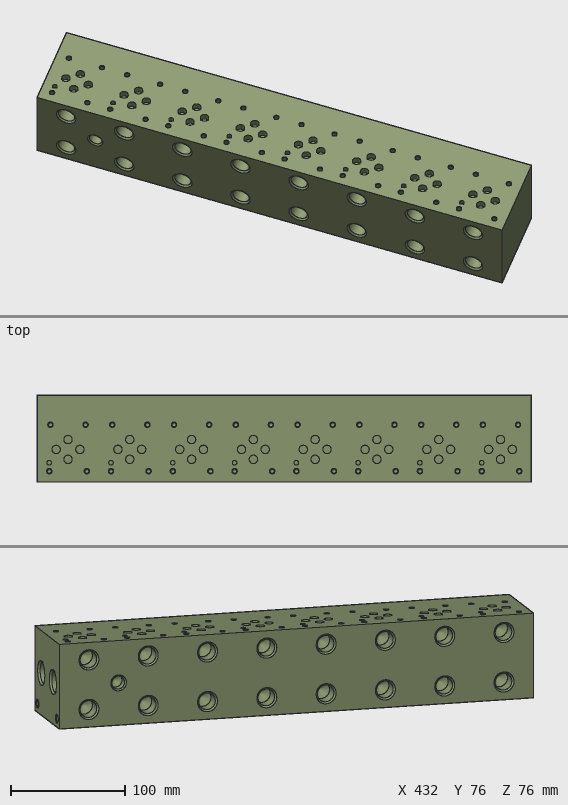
import cadquery as cq
import math

LENGTH = 432.0
SIDE = 76.0
MIDDLE = SIDE / 2

STATION_COUNT = 8
STATION_PITCH = 54.0
FIRST_STATION_X = (LENGTH - (STATION_COUNT - 1) * STATION_PITCH) / 2

WORK_PORT_HEIGHTS = (16.0, 60.5)
WORK_PORT_BORE = 15.0
WORK_PORT_MOUTH = 18.0
WORK_PORT_DEPTH = 15.0

GAUGE_X = FIRST_STATION_X + STATION_PITCH / 2
GAUGE_BORE = 11.5
GAUGE_MOUTH = 14.2
GAUGE_DEPTH = 9.5

END_PORT_OFFSET = 18.0
END_PORT_BORE = 18.5
END_PORT_MOUTH = 22.0
END_PORT_DEPTH = 17.3

MOUNT_EDGE_DISTANCE = 7.8
MOUNT_BORE = 6.5
MOUNT_MOUTH = 7.8
MOUNT_DEPTH = 13.0

SCREW_BACK_Y = 50.0
SCREW_ROW_DISTANCE = 40.5
SCREW_FRONT_Y = SCREW_BACK_Y - SCREW_ROW_DISTANCE
SCREW_BACK_SPACING = 30.5
SCREW_FRONT_SPACING = 33.0
SCREW_POINTS = (
    (-SCREW_BACK_SPACING / 2, SCREW_BACK_Y),
    (SCREW_BACK_SPACING / 2, SCREW_BACK_Y),
    (-SCREW_FRONT_SPACING / 2, SCREW_FRONT_Y),
    (SCREW_FRONT_SPACING / 2, SCREW_FRONT_Y),
)
SCREW_BORE = 3.65
SCREW_MOUTH = 4.7
SCREW_DEPTH = 11.0

VALVE_PORT_CENTER_Y = 28.5
VALVE_PORT_REACH_X = 10.5
VALVE_PORT_REACH_Y = 8.5
VALVE_PORT_POINTS = (
    (-VALVE_PORT_REACH_X, VALVE_PORT_CENTER_Y),
    (VALVE_PORT_REACH_X, VALVE_PORT_CENTER_Y),
    (0, VALVE_PORT_CENTER_Y - VALVE_PORT_REACH_Y),
    (0, VALVE_PORT_CENTER_Y + VALVE_PORT_REACH_Y),
)
VALVE_PORT_BORE = 7.5
VALVE_PORT_DEPTH = 6.5

PIN_BEHIND_SCREW = 7.5
PIN_POINT = (-SCREW_FRONT_SPACING / 2, SCREW_FRONT_Y + PIN_BEHIND_SCREW)
PIN_BORE = 4.0
PIN_DEPTH = 4.5

DRILL_HALF_ANGLE = 59.0
COUNTERSINK_HALF_ANGLE = 45.0

INTO_Y = cq.Vector(0, 1, 0)
INTO_X = cq.Vector(1, 0, 0)
DOWN = cq.Vector(0, 0, -1)


def cone_height(base_radius, half_angle):
    """Axial length of a cone of the given base radius and half angle."""
    return base_radius / math.tan(math.radians(half_angle))


def flat_hole(mouth_center, direction, bore, depth):
    """Plain flat-bottomed bore."""
    return [cq.Solid.makeCylinder(bore / 2, depth, cq.Vector(*mouth_center), direction)]


def drilled_hole(mouth_center, direction, bore, depth, mouth):
    """Bore with a countersunk mouth and a conical drill point."""
    center = cq.Vector(*mouth_center)
    sink_depth = cone_height((mouth - bore) / 2, COUNTERSINK_HALF_ANGLE)
    countersink = cq.Solid.makeCone(mouth / 2, bore / 2, sink_depth, center, direction)
    tip_height = cone_height(bore / 2, DRILL_HALF_ANGLE)
    tip = cq.Solid.makeCone(bore / 2, 0, tip_height, center + direction * depth, direction)
    return flat_hole(mouth_center, direction, bore, depth) + [countersink, tip]


def end_face_holes():
    """Supply and tank ports, and the two mounting threads below them."""
    cutters = []
    for side in (-1, 1):
        port = (0, MIDDLE + side * END_PORT_OFFSET, MIDDLE)
        cutters += drilled_hole(port, INTO_X, END_PORT_BORE, END_PORT_DEPTH, END_PORT_MOUTH)
        mount = (0, MIDDLE + side * (MIDDLE - MOUNT_EDGE_DISTANCE), MOUNT_EDGE_DISTANCE)
        cutters += drilled_hole(mount, INTO_X, MOUNT_BORE, MOUNT_DEPTH, MOUNT_MOUTH)
    return cutters


def gauge_port():
    """Single gauge port at mid height."""
    return drilled_hole((GAUGE_X, 0, MIDDLE), INTO_Y, GAUGE_BORE, GAUGE_DEPTH, GAUGE_MOUTH)


def work_ports(station_x):
    """Upper and lower work ports of one station."""
    cutters = []
    for height in WORK_PORT_HEIGHTS:
        port = (station_x, 0, height)
        cutters += drilled_hole(port, INTO_Y, WORK_PORT_BORE, WORK_PORT_DEPTH, WORK_PORT_MOUTH)
    return cutters


def valve_interface(station_x):
    """Screw holes, valve ports and locating pin hole of one station."""

    def on_top(point):
        return (station_x + point[0], point[1], SIDE)

    cutters = flat_hole(on_top(PIN_POINT), DOWN, PIN_BORE, PIN_DEPTH)
    for point in SCREW_POINTS:
        cutters += drilled_hole(on_top(point), DOWN, SCREW_BORE, SCREW_DEPTH, SCREW_MOUTH)
    for point in VALVE_PORT_POINTS:
        cutters += flat_hole(on_top(point), DOWN, VALVE_PORT_BORE, VALVE_PORT_DEPTH)
    return cutters


hole_cutters = end_face_holes() + gauge_port()
for station in range(STATION_COUNT):
    center_x = FIRST_STATION_X + station * STATION_PITCH
    hole_cutters += work_ports(center_x) + valve_interface(center_x)

block = cq.Workplane("XY").box(LENGTH, SIDE, SIDE, centered=False).val()
result = cq.Workplane("XY").newObject([block.cut(*hole_cutters).Solids()[0]])